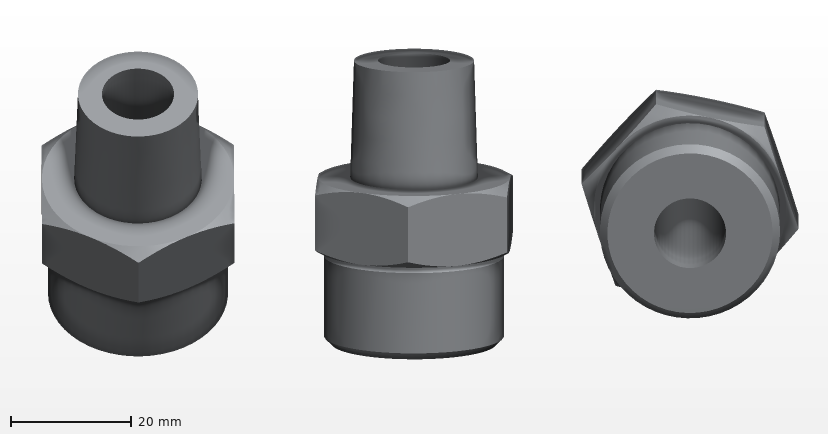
import cadquery as cq
import math

total_height = 48.0
bore_diameter = 12.0

lower_diameter = 30.0
lower_height = 16.0
bottom_chamfer = 1.25
neck_chamfer = 1.1

across_flats = 32.0
hex_top = 28.2
across_corners = across_flats / math.cos(math.radians(30))
corner_bevel_angle = 30.0

spigot_base_diameter = 21.25
spigot_top_diameter = 20.0


def lower_end():
    body = cq.Workplane("XY").circle(lower_diameter / 2).extrude(lower_height)
    body = body.faces("<Z").chamfer(bottom_chamfer)
    return body.faces(">Z").chamfer(neck_chamfer)


def hexagon():
    """Hexagonal prism with flats facing X, its corners bevelled by a turned envelope."""
    prism = (
        cq.Workplane("XY", origin=(0, 0, lower_height))
        .polygon(6, across_corners)
        .extrude(hex_top - lower_height)
        .rotate((0, 0, 0), (0, 0, 1), 30)
    )
    flat_radius = across_flats / 2
    corner_radius = across_corners / 2
    bevel_drop = (corner_radius - flat_radius) * math.tan(math.radians(corner_bevel_angle))
    envelope = (
        cq.Workplane("XZ")
        .moveTo(0, lower_height)
        .lineTo(flat_radius, lower_height)
        .lineTo(corner_radius, lower_height + bevel_drop)
        .lineTo(corner_radius, hex_top - bevel_drop)
        .lineTo(flat_radius, hex_top)
        .lineTo(0, hex_top)
        .close()
        .revolve(360, (0, 0, 0), (0, 1, 0))
    )
    return prism.intersect(envelope)


def tapered_spigot():
    return (
        cq.Workplane("XY", origin=(0, 0, hex_top))
        .circle(spigot_base_diameter / 2)
        .workplane(offset=total_height - hex_top)
        .circle(spigot_top_diameter / 2)
        .loft()
    )


bore = cq.Workplane("XY").circle(bore_diameter / 2).extrude(total_height)

result = lower_end().union(hexagon()).union(tapered_spigot()).cut(bore)